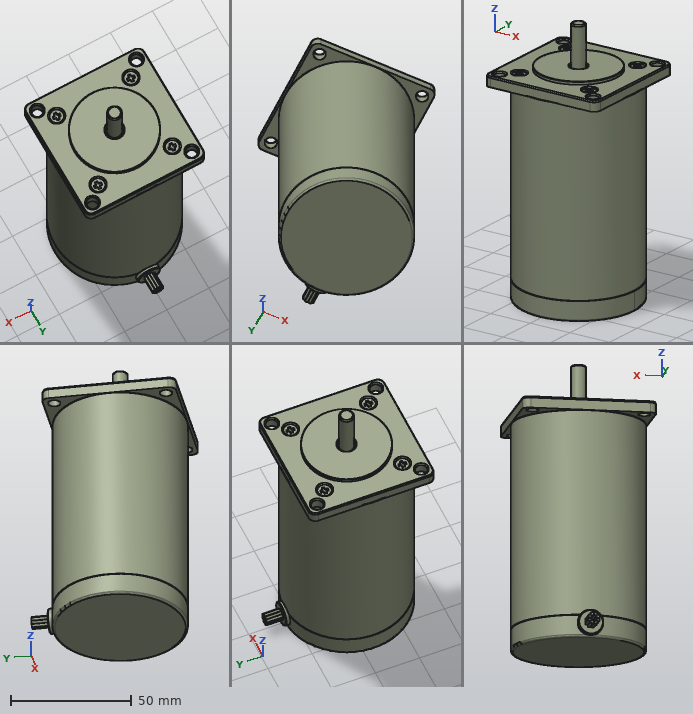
import cadquery as cq
import math

width = 56.5
total_height = 122.2
flange_top = 101.8
flange_thickness = 4.9
flange_bottom = flange_top - flange_thickness

cap_height = 9.3
cap_edge_radius = 1.0
seam_width = 0.2
seam_depth = 0.06

corner_radius = 3.0
flange_edge_width = 0.4
flange_edge_height = 0.7
mount_spacing = 47.2
mount_diameter = 5.1
mount_rim_diameter = 6.4

screw_spacing = 35.3
screw_rim_diameter = 7.3
screw_head_diameter = 6.0
cross_length = 3.3
cross_width = 1.1
cross_depth = 0.6
screw_head_drop = 0.5

pilot_diameter = 38.1
pilot_height = 1.5
pilot_edge = 0.2
shaft_diameter = 6.4
shaft_edge = 0.6
recess_rim_diameter = 8.5
recess_diameter = 7.6
recess_depth = 1.2

outlet_height = 6.0
grommet_diameter = 10.6
grommet_edge = 0.4
grommet_projection = 1.6
cable_end = 37.1
wire_count = 8
bundle_diameter = 4.9
wire_overlap = 0.02


def square_points(spacing):
    """The four corners of a centred square."""
    half = spacing / 2
    return [(x, y) for x in (-half, half) for y in (-half, half)]


def cone_cutter(top, rim_diameter, bottom_diameter, depth):
    """A countersink that narrows downward from the given height."""
    return (
        cq.Workplane("XY").workplane(offset=top).circle(rim_diameter / 2)
        .workplane(offset=-depth).circle(bottom_diameter / 2).loft()
    )


def make_body():
    """Round body with a rounded bottom edge and fine seams above the end cap and below the flange."""
    body = cq.Workplane("XY").circle(width / 2).extrude(flange_bottom)
    body = body.faces("<Z").edges().fillet(cap_edge_radius)
    for seam_bottom in (cap_height - seam_width / 2, flange_bottom - seam_width):
        seam = (
            cq.Workplane("XY").workplane(offset=seam_bottom)
            .circle(width / 2 + seam_depth).circle(width / 2 - seam_depth).extrude(seam_width)
        )
        body = body.cut(seam)
    return body


def make_flange():
    """Square plate with round corners and a bevelled top edge."""
    plate = (
        cq.Workplane("XY").workplane(offset=flange_bottom)
        .rect(width, width).extrude(flange_thickness).edges("|Z").fillet(corner_radius)
    )
    return plate.faces(">Z").edges().chamfer(flange_edge_height, flange_edge_width)


def make_pilot_and_shaft():
    """Pilot disc with a countersunk ring recess around the shaft."""
    pilot_top = flange_top + pilot_height
    pilot = (
        cq.Workplane("XY").workplane(offset=flange_top)
        .circle(pilot_diameter / 2).extrude(pilot_height)
        .faces(">Z").edges().chamfer(pilot_edge)
    )
    recess = (
        cq.Workplane("XY").workplane(offset=pilot_top - recess_depth)
        .circle(recess_diameter / 2).extrude(recess_depth)
    )
    rim_depth = (recess_rim_diameter - recess_diameter) / 2
    rim = cone_cutter(pilot_top, recess_rim_diameter, recess_diameter, rim_depth)
    pilot = pilot.cut(recess).cut(rim)
    shaft = (
        cq.Workplane("XY").workplane(offset=flange_top)
        .circle(shaft_diameter / 2).extrude(total_height - flange_top)
        .faces(">Z").edges().chamfer(shaft_edge)
    )
    return pilot.union(shaft)


def cut_mounting_holes(part):
    """Countersunk through holes in the flange corners."""
    rim_depth = (mount_rim_diameter - mount_diameter) / 2
    rim = cone_cutter(flange_top, mount_rim_diameter, mount_diameter, rim_depth)
    for x, y in square_points(mount_spacing):
        hole = (
            cq.Workplane("XY").workplane(offset=flange_bottom).center(x, y)
            .circle(mount_diameter / 2).extrude(flange_thickness)
        )
        part = part.cut(hole).cut(rim.translate((x, y, 0)))
    return part


def cut_screw_heads(part):
    """Sunk screw heads, each with a cross slot."""
    rim = cone_cutter(flange_top, screw_rim_diameter, screw_head_diameter, screw_head_drop)
    head_level = flange_top - screw_head_drop
    cross = (
        cq.Workplane("XY").workplane(offset=head_level - cross_depth)
        .rect(cross_length, cross_width).extrude(cross_depth + screw_head_drop)
    )
    cross = cross.union(cross.rotate((0, 0, 0), (0, 0, 1), 90))
    cutter = rim.union(cross)
    for x, y in square_points(screw_spacing):
        part = part.cut(cutter.translate((x, y, 0)))
    return part


def make_cable_outlet():
    """Round grommet with a ring of wires that run out along +Y."""
    grommet_end = width / 2 + grommet_projection
    grommet_start = width / 2 - 2 * grommet_projection
    grommet = (
        cq.Workplane("XZ", origin=(0, grommet_end, outlet_height))
        .circle(grommet_diameter / 2).extrude(grommet_end - grommet_start)
        .faces(">Y").edges().chamfer(grommet_edge)
    )
    half_step = math.pi / wire_count
    ring_radius = bundle_diameter / 2 / (math.cos(half_step) + math.sin(half_step))
    wire_radius = ring_radius * math.sin(half_step) + wire_overlap / 2
    for i in range(wire_count):
        angle = (2 * i + 1) * half_step
        wire = (
            cq.Workplane("XZ", origin=(0, cable_end, outlet_height))
            .center(ring_radius * math.cos(angle), ring_radius * math.sin(angle))
            .circle(wire_radius).extrude(cable_end - width / 2)
        )
        grommet = grommet.union(wire)
    return grommet


result = make_body().union(make_flange()).union(make_pilot_and_shaft())
result = cut_mounting_holes(result)
result = cut_screw_heads(result)
result = result.union(make_cable_outlet())